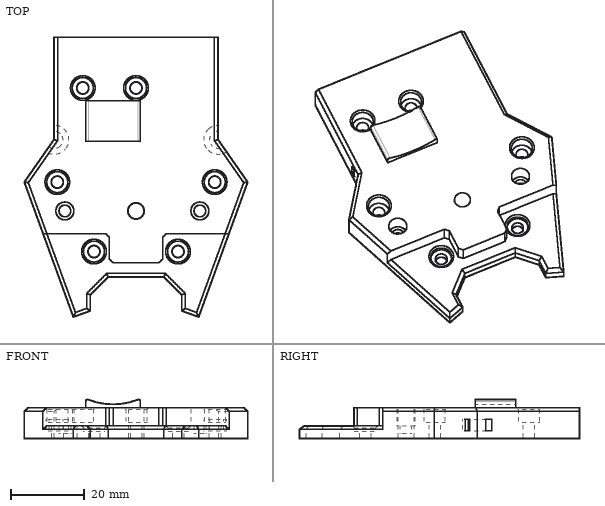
import cadquery as cq


body_height = 8.5
ledge_height = 3.5
edge_chamfer = 1.0

rear_y = 47.6
rear_half_width = 22.5
shoulder_y = 19.55
widest_y = 7.9
widest_half_width = 30.6
tip_y = -29.1
tip_half_width = 17.2
foot_inner_y = -27.4
notch_half_width = 12.5
notch_side_y = -23.0
notch_rear_y = -18.1
notch_rear_half_width = notch_half_width - (notch_rear_y - notch_side_y)

step_y = -6.2
tongue_half_width = 7.3
tongue_front_y = -14.2
tongue_corner = 1.0

screw_diameter = 3.2
head_diameter = 5.75
head_chamfer = 0.5
body_head_depth = 4.0
ledge_head_depth = 1.5
rear_screws = [(-14.6, 33.7), (0, 33.7)]
side_screw_x = 21.55
side_screws = [(-side_screw_x, widest_y), (side_screw_x, widest_y)]
ledge_screw_x = 11.5
ledge_screw_y = -11.1
ledge_screws = [(-ledge_screw_x, ledge_screw_y), (ledge_screw_x, ledge_screw_y)]

centre_diameter = 4.4
blind_holes = [(-19.5, 0), (17.5, 0)]
blind_diameter = 4.9
blind_depth = 5.0
pilot_diameter = 3.2
pilot_depth = 7.0

saddle_x = -6.3
saddle_width = 14.95
saddle_front_y = 19.0
saddle_rear_y = 30.2
saddle_low_z = 9.4
saddle_radius = 18.8
saddle_fillet = 0.5

channel_inner_radius = 2.4
channel_outer_radius = 4.0
channel_bottom_z = 2.2
channel_height = 3.1


def mirrored(half):
    """Close a right-hand half outline with its mirror image about X = 0."""
    return half + [(-x, y) for x, y in reversed(half)]


def side_half_width(y):
    """Half width of the tapering front sides at a given Y."""
    share = (y - tip_y) / (widest_y - tip_y)
    return tip_half_width + share * (widest_half_width - tip_half_width)


def prism(points, height):
    return cq.Workplane("XY").polyline(points).close().extrude(height)


def make_body():
    step_half_width = side_half_width(step_y)
    outline = mirrored([
        (rear_half_width, rear_y),
        (rear_half_width, shoulder_y),
        (widest_half_width, widest_y),
        (step_half_width, step_y),
    ])
    return prism(outline, body_height).faces(">Z").edges("not |X").chamfer(edge_chamfer)


def make_ledge():
    outline = mirrored([
        (side_half_width(step_y), step_y),
        (tip_half_width, tip_y),
        (notch_half_width, foot_inner_y),
        (notch_half_width, notch_side_y),
        (notch_rear_half_width, notch_rear_y),
    ])
    return prism(outline, ledge_height).faces(">Z").edges("not >Y").chamfer(edge_chamfer)


def make_tongue():
    outline = mirrored([
        (tongue_half_width + tongue_corner, step_y),
        (tongue_half_width, step_y - tongue_corner),
        (tongue_half_width, tongue_front_y + tongue_corner),
        (tongue_half_width - tongue_corner, tongue_front_y),
    ])
    return prism(outline, body_height)


def make_saddle():
    depth = saddle_rear_y - saddle_front_y
    centre_y = (saddle_rear_y + saddle_front_y) / 2
    axis_z = saddle_low_z + saddle_radius
    block = (
        cq.Workplane("XY", origin=(saddle_x, centre_y, body_height))
        .rect(saddle_width, depth)
        .extrude(axis_z - body_height)
    )
    roller = (
        cq.Workplane("XZ", origin=(saddle_x, saddle_rear_y, axis_z))
        .circle(saddle_radius)
        .extrude(depth)
    )
    return block.cut(roller).edges("|Y and (not <Z)").fillet(saddle_fillet)


def hole_cutter(spots, diameter, top, depth):
    return (
        cq.Workplane("XY", origin=(0, 0, top - depth))
        .pushPoints(spots)
        .circle(diameter / 2)
        .extrude(depth)
    )


def screw_cutter(spots, top, head_depth):
    """Through holes with a counterbore whose rim is chamfered."""
    rim = (
        cq.Workplane("XY", origin=(0, 0, top))
        .pushPoints(spots)
        .circle(head_diameter / 2 + head_chamfer)
        .extrude(-head_chamfer, taper=45)
    )
    head = hole_cutter(spots, head_diameter, top, head_depth)
    shank = hole_cutter(spots, screw_diameter, top, top)
    return shank.union(head).union(rim)


def channel_cutter(side):
    """Ring centred on a shoulder corner; side is -1 or 1."""
    centre = (side * rear_half_width, shoulder_y, channel_bottom_z)
    return (
        cq.Workplane("XY", origin=centre)
        .circle(channel_outer_radius)
        .circle(channel_inner_radius)
        .extrude(channel_height)
    )


result = make_body().union(make_ledge()).union(make_tongue())

result = result.cut(screw_cutter(rear_screws + side_screws, body_height, body_head_depth))
result = result.cut(screw_cutter(ledge_screws, ledge_height, ledge_head_depth))
result = result.cut(hole_cutter([(0, 0)], centre_diameter, body_height, body_height))
result = result.cut(hole_cutter(blind_holes, blind_diameter, body_height, blind_depth))
result = result.cut(hole_cutter(blind_holes, pilot_diameter, body_height, pilot_depth))
for side in (-1, 1):
    result = result.cut(channel_cutter(side))

result = result.union(make_saddle())